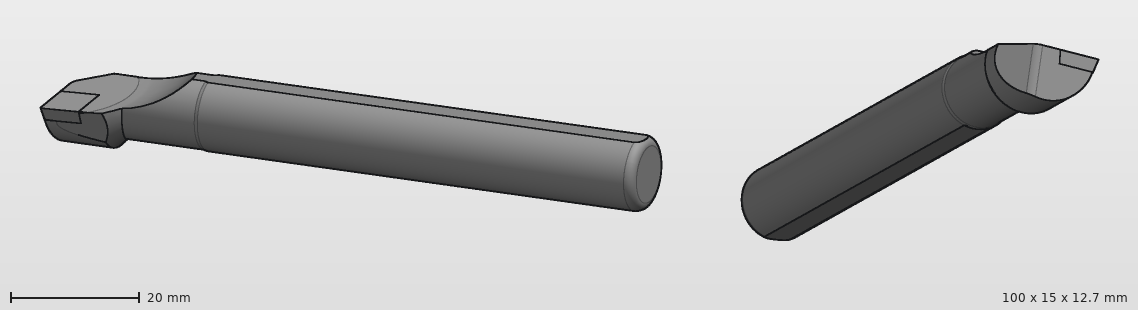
import cadquery as cq
import math

length = 100.0

shank_radius = 6.0
shank_start = 25.5
flat_height = 5.6
end_round = 1.5

neck_radius = 5.85
neck_start = 9.0
neck_end = 24.9

head_radius = 7.1
head_offset = neck_radius - head_radius
head_end = 10.0
head_cone_length = 2.6

rake_angle = 9.0
tip_y = -9.0
clearance_angle = 7.0
side_clearance_angle = 11.0
head_depth = 14.0
head_rise = 3.0

approach_angle = 5.0
corner_y = 1.1
corner_round = 2.0
corner_bevel_angle = 41.0
outline_reach = 40.0

gullet_x = 0.7
gullet_floor_radius = 10.9
gullet_rim_radius = 16.0
gullet_height = 12.0

insert_side = 6.4
insert_thickness = 2.2
nose_radius = 0.2

tan_approach = math.tan(math.radians(approach_angle))
tan_rake = math.tan(math.radians(rake_angle))
cos_rake = math.cos(math.radians(rake_angle))

half_nose_angle = math.radians(45 - approach_angle)
nose_overhang = nose_radius * (math.sqrt(0.5) / math.sin(half_nose_angle) - 1)
sharp_x = -nose_overhang
sharp_y = tip_y - nose_overhang


def rake_plane(x, y):
    """Plane on the rake face at (x, y), with its normal pointing out of the face."""
    origin = (x, y, (y - tip_y) * tan_rake)
    tilt = math.radians(rake_angle)
    return cq.Plane(origin=origin, xDir=(1, 0, 0), normal=(0, -math.sin(tilt), math.cos(tilt)))


def rod(radius, start, end, y=0.0):
    return cq.Workplane("YZ", origin=(start, y, 0)).circle(radius).extrude(end - start)


def cone(start_radius, end_radius, start, end, y=0.0):
    """Cone frustum along X."""
    solid = cq.Solid.makeCone(
        start_radius, end_radius, end - start, pnt=cq.Vector(start, y, 0), dir=cq.Vector(1, 0, 0)
    )
    return cq.Workplane(solid)


def clearance_prism(depth):
    """Outline in the rake face, drawn inward by the clearance angles as it goes down."""
    corner_rise = (corner_y - sharp_y) / cos_rake
    corner_x = corner_rise * tan_approach
    bevel_run = outline_reach * math.cos(math.radians(corner_bevel_angle))
    bevel_rise = outline_reach * math.sin(math.radians(corner_bevel_angle))
    outline = [
        (0, 0),
        (outline_reach, outline_reach * tan_approach),
        (outline_reach, corner_rise + bevel_rise),
        (corner_x + bevel_run, corner_rise + bevel_rise),
        (corner_x, corner_rise),
    ]
    face = cq.Workplane(rake_plane(sharp_x, sharp_y))
    prism = face.polyline(outline).close().extrude(-depth, taper=clearance_angle)

    side_rise = outline_reach * tan_approach
    side_outline = [
        (-outline_reach, -side_rise),
        (outline_reach, side_rise),
        (outline_reach, 2 * outline_reach),
        (-outline_reach, 2 * outline_reach),
    ]
    prism = prism.intersect(face.polyline(side_outline).close().extrude(-depth, taper=side_clearance_angle))

    nose_edge = cq.selectors.NearestToPointSelector((sharp_x, sharp_y, -depth / 2))
    corner_edge = cq.selectors.NearestToPointSelector((corner_x, corner_y, -depth / 2))
    side_edges = "not(#Z or |X)"
    prism = prism.edges(side_edges).edges(nose_edge).fillet(nose_radius)
    return prism.edges(side_edges).edges(corner_edge).fillet(corner_round)


def gullet():
    """Cutter revolved about the rake face normal."""
    rim_reach = math.sqrt(gullet_rim_radius**2 - (gullet_rim_radius - gullet_height) ** 2)
    mid_angle = math.acos(1 - gullet_height / gullet_rim_radius) / 2
    rim_mid = (
        gullet_floor_radius + gullet_rim_radius * math.sin(mid_angle),
        gullet_rim_radius * (1 - math.cos(mid_angle)),
    )
    face = rake_plane(gullet_x, 0)
    section = cq.Plane(origin=face.origin, xDir=face.xDir, normal=-face.yDir)
    return (
        cq.Workplane(section)
        .lineTo(gullet_floor_radius, 0)
        .threePointArc(rim_mid, (gullet_floor_radius + rim_reach, gullet_height))
        .lineTo(0, gullet_height)
        .close()
        .revolve(360, (0, 0), (0, 1))
    )


def flat_cut(start, side):
    """Block above (side = 1) or below (side = -1) a flat on the bar."""
    thickness = 2 * (shank_radius - flat_height)
    block = cq.Workplane().box(length - start, 2 * shank_radius, thickness, centered=(False, True, True))
    return block.translate((start, 0, side * (flat_height + thickness / 2)))


def make_insert():
    """Rhombic column with upright inner walls, trimmed by the clearance faces."""
    run = insert_side * math.cos(math.radians(approach_angle))
    rise = insert_side * math.sin(math.radians(approach_angle))
    column = (
        cq.Workplane("XY", origin=(sharp_x, sharp_y, -head_depth))
        .polyline([(0, 0), (run, rise), (run + rise, run + rise), (rise, run)])
        .close()
        .extrude(2 * head_depth)
    )
    return clearance_prism(insert_thickness).intersect(column)


def make_bar(insert):
    head_cone_end = head_end + head_cone_length
    head = rod(head_radius, 0, head_end, head_offset).union(
        cone(head_radius, head_radius - head_cone_length, head_end, head_cone_end, head_offset)
    )
    prism = clearance_prism(head_depth)
    top_face = cq.selectors.DirectionMinMaxSelector(rake_plane(0, 0).zDir)
    prism = prism.union(prism.faces(top_face).wires().toPending().workplane().extrude(head_rise))
    head = head.intersect(prism)
    shank = rod(shank_radius, shank_start, length).faces(">X").edges().fillet(end_round)
    bar = (
        shank.union(cone(neck_radius, shank_radius, neck_end, shank_start))
        .union(rod(neck_radius, neck_start, neck_end))
        .union(head)
    )
    bar = bar.cut(flat_cut(neck_start, 1)).cut(flat_cut(shank_start, -1))
    return bar.cut(gullet()).cut(insert)


insert = make_insert()
bar = make_bar(insert)

result = cq.Compound.makeCompound([bar.val(), insert.val()])